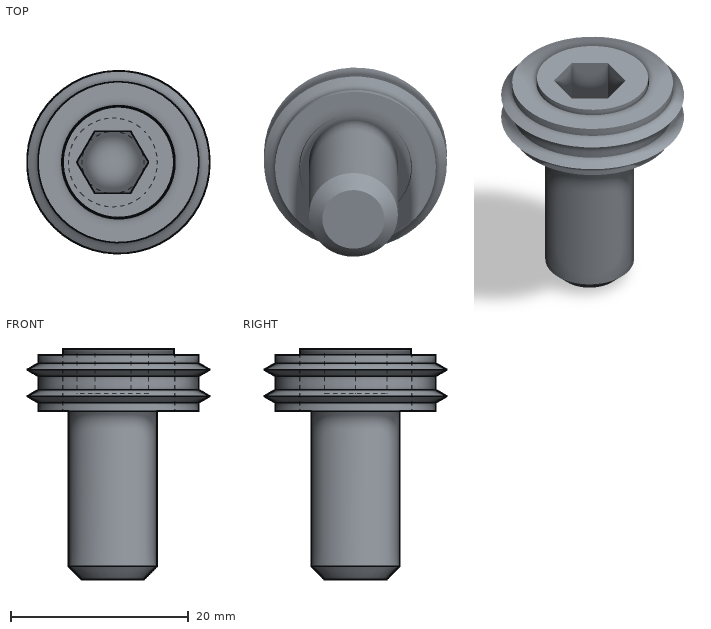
import cadquery as cq
import math

TOTAL_LENGTH = 26.0
RING_HEIGHT = 6.35
HEAD_PROTRUSION = 0.68
HEAD_HEIGHT = RING_HEIGHT + HEAD_PROTRUSION
SHANK_LENGTH = TOTAL_LENGTH - HEAD_HEIGHT

RING_DIAMETER = 18.12
RIDGE_DIAMETER = 20.62
RIDGE_PITCH = 3.0
RIDGE_FLANK_ANGLE = 30.0
BORE_DIAMETER = 12.7

HEAD_DIAMETER = 12.53
SHANK_DIAMETER = 10.0
SHANK_OFFSET = -0.65
TIP_CHAMFER = 1.5
SOCKET_FLATS = 7.0
SOCKET_DEPTH = 5.0


def make_ring():
    """Plain bored ring with two V-shaped ridges, revolved about Z."""
    bore_radius = BORE_DIAMETER / 2
    body_radius = RING_DIAMETER / 2
    ridge_radius = RIDGE_DIAMETER / 2
    ridge_half_width = (ridge_radius - body_radius) * math.tan(math.radians(RIDGE_FLANK_ANGLE))

    profile = cq.Workplane("XZ").moveTo(bore_radius, 0).lineTo(body_radius, 0)
    for side in (-1, 1):
        ridge_z = RING_HEIGHT / 2 + side * RIDGE_PITCH / 2
        profile = (
            profile.lineTo(body_radius, ridge_z - ridge_half_width)
            .lineTo(ridge_radius, ridge_z)
            .lineTo(body_radius, ridge_z + ridge_half_width)
        )
    profile = profile.lineTo(body_radius, RING_HEIGHT).lineTo(bore_radius, RING_HEIGHT).close()
    return profile.revolve(360, (0, 0, 0), (0, 1, 0))


def make_eccentric_screw():
    """Round head centred in the ring, with the shank and hex socket offset along X."""
    head = cq.Workplane("XY").circle(HEAD_DIAMETER / 2).extrude(HEAD_HEIGHT)
    shank = (
        cq.Workplane("XY")
        .center(SHANK_OFFSET, 0)
        .circle(SHANK_DIAMETER / 2)
        .extrude(-SHANK_LENGTH)
        .faces("<Z")
        .chamfer(TIP_CHAMFER)
    )
    socket_corner_diameter = SOCKET_FLATS / math.cos(math.radians(30))
    socket = (
        cq.Workplane("XY")
        .workplane(offset=HEAD_HEIGHT)
        .center(SHANK_OFFSET, 0)
        .polygon(6, socket_corner_diameter)
        .extrude(-SOCKET_DEPTH)
    )
    return head.union(shank).cut(socket)


ring = make_ring()
eccentric_screw = make_eccentric_screw()

result = cq.Compound.makeCompound([ring.val(), *eccentric_screw.vals()])